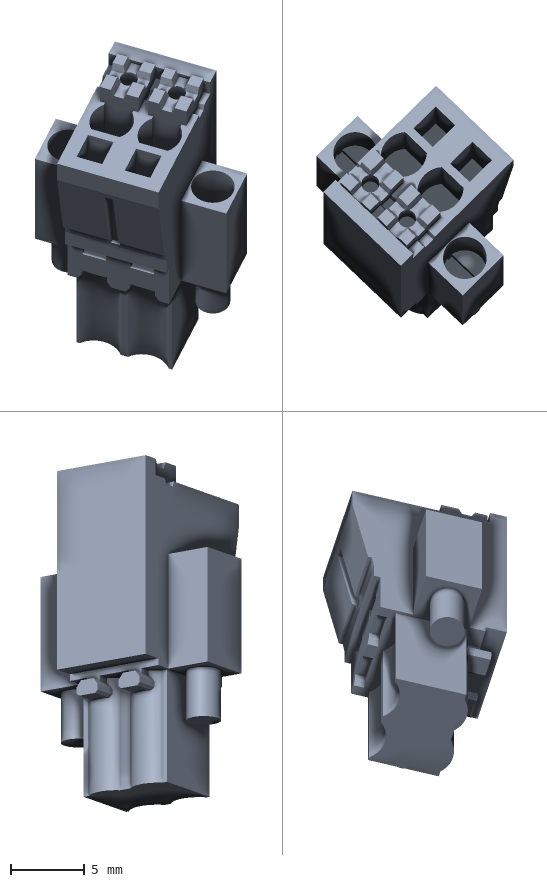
import cadquery as cq


pitch = 3.52
pole_x = [-pitch / 2, pitch / 2]
button_offset_x = 0.11
button_x = [x + button_offset_x for x in pole_x]

total_height = 22.7
housing_width = 7.42
base_z = 7.92
ledge_z = 21.25
wall_top_z = 22.4
wall_front_y = 3.47
back_y = 4.65
back_step_y = 3.15
back_step_z = 8.4
front_y = -6.29
front_edge_z = 19.6
taper_end_y = -5.18
taper_end_z = 13.67
lip_top_y = -4.9
lip_y = -4.77
lip_z = 12.78
lip_bottom_z = 11.53
lower_front_y = -4.31

plug_width = 7.0
plug_front_y = -3.15
plug_back_y = 1.85
scallop_width = 3.0
scallop_depth = 0.7
bulge_width = 2.63
bulge_depth = 0.52

lug_half_width = 0.89
lug_top_half_width = 0.52
lug_bottom_half_width = 0.68
lug_top_z = 7.6
lug_upper_z = 7.15
lug_lower_z = 6.75
lug_bottom_z = 6.54
lug_back_y = 3.85

flange_span = 14.0
flange_depth = 3.97
flange_top_z = 16.0
screw_spacing = 10.5

shank_diameter = 2.38
head_diameter = 2.97
head_height = 2.72
head_recess = 3.63
shank_bottom_z = 4.45
driver_slot_width = 0.45
driver_slot_depth = 0.57
head_top_z = flange_top_z - head_recess
head_bottom_z = head_top_z - head_height

button_width = 2.8
button_front_y = 0.14
button_back_y = 3.4
button_bottom_z = 16.7
button_hole_radius = 0.61
button_hole_depth = 2.27
button_groove_y = 1.95
button_groove_offset_x = -0.05
button_groove_depth = 0.52
button_groove_top = 1.15
button_groove_bottom = 0.68

ledge_groove_y = 1.86
ledge_groove_depth = 0.39
ledge_groove_top = 1.05
ledge_groove_bottom = 0.75

well_front_y = -2.47
well_arc_end_y = -0.1
well_flat_half_width = 1.05
well_half_width = 1.5

entry_width = 1.86
entry_front_y = -5.22
entry_back_y = -3.06
entry_depth = 4.55

slot_width = 0.68
slot_floor_y = -4.55
slot_bottom_z = 13.08
slot_top_z = 19.1
window_width = 1.7
window_bottom_z = 10.49
window_depth = 0.9
notch_half_width = 0.93
notch_mouth_half_width = 1.25
notch_flare_z = 8.38
notch_top_z = 8.83
notch_depth = 0.73


def block(x_range, y_range, z_range):
    """Box between the given limits."""
    size = [high - low for low, high in (x_range, y_range, z_range)]
    return cq.Workplane(cq.Solid.makeBox(*size, cq.Vector(x_range[0], y_range[0], z_range[0])))


def centred(middle, width):
    """Limits of a span of the given width."""
    return middle - width / 2, middle + width / 2


def cylinder(x, radius, bottom_z, top_z, y=0):
    """Upright cylinder."""
    return cq.Workplane("XY", origin=(x, y, bottom_z)).circle(radius).extrude(top_z - bottom_z)


def prism_along_y(points, y_start, y_end):
    """Extrude an (x, z) outline from y_start to y_end."""
    return cq.Workplane("XZ", origin=(0, y_start, 0)).polyline(points).close().extrude(y_start - y_end)


def prism_along_x(points, x_start, x_end):
    """Extrude a (y, z) outline from x_start to x_end."""
    return cq.Workplane("YZ", origin=(x_start, 0, 0)).polyline(points).close().extrude(x_end - x_start)


def groove_outline(middle, top_z, depth, top_width, bottom_width):
    """Trapezoid of a groove that narrows downwards."""
    return [
        (middle - top_width / 2, top_z),
        (middle - bottom_width / 2, top_z - depth),
        (middle + bottom_width / 2, top_z - depth),
        (middle + top_width / 2, top_z),
    ]


def button_envelope(x):
    """Outer block of a button, which is also its pocket in the housing."""
    return block(centred(x, button_width), (button_front_y, button_back_y), (button_bottom_z, total_height))


def make_core():
    """Main block of the housing, extruded from its side profile."""
    profile = [
        (back_y, back_step_z),
        (back_y, wall_top_z),
        (wall_front_y, wall_top_z),
        (wall_front_y, ledge_z),
        (front_y, ledge_z),
        (front_y, front_edge_z),
        (taper_end_y, taper_end_z),
        (lip_top_y, taper_end_z),
        (lip_y, lip_z),
        (lip_y, lip_bottom_z),
        (lower_front_y, lip_bottom_z),
        (lower_front_y, base_z),
        (back_step_y, base_z),
        (back_step_y, back_step_z),
    ]
    return prism_along_x(profile, -housing_width / 2, housing_width / 2)


def make_plug():
    """Plug with a hollow at the front and a bulge at the back of each pole."""
    half_width = plug_width / 2
    half_scallop = scallop_width / 2
    half_bulge = bulge_width / 2
    outline = cq.Workplane("XY").moveTo(-half_width, plug_front_y)
    for x in pole_x:
        outline = outline.lineTo(x - half_scallop, plug_front_y)
        outline = outline.threePointArc((x, plug_front_y + scallop_depth), (x + half_scallop, plug_front_y))
    outline = outline.lineTo(half_width, plug_front_y).lineTo(half_width, plug_back_y)
    for x in reversed(pole_x):
        outline = outline.lineTo(x + half_bulge, plug_back_y)
        outline = outline.threePointArc((x, plug_back_y + bulge_depth), (x - half_bulge, plug_back_y))
    return outline.lineTo(-half_width, plug_back_y).close().extrude(base_z)


def make_lug(x):
    """Latching lug with bevelled sides, and the short web that joins it to the housing."""
    outline = [
        (x - lug_top_half_width, lug_top_z),
        (x + lug_top_half_width, lug_top_z),
        (x + lug_half_width, lug_upper_z),
        (x + lug_half_width, lug_lower_z),
        (x + lug_bottom_half_width, lug_bottom_z),
        (x - lug_bottom_half_width, lug_bottom_z),
        (x - lug_half_width, lug_lower_z),
        (x - lug_half_width, lug_upper_z),
    ]
    lug = prism_along_y(outline, plug_back_y, lug_back_y)
    web = block(centred(x, 2 * lug_top_half_width), (plug_back_y, back_step_y), (lug_top_z, base_z))
    return lug.union(web)


def make_flange(side):
    """Block beside the housing that holds a screw."""
    x_range = sorted((side * housing_width / 2, side * flange_span / 2))
    return block(x_range, centred(0, flange_depth), (base_z, flange_top_z))


def screw_bore(side):
    """Stepped bore of a flange, open above the screw head."""
    x = side * screw_spacing / 2
    shank_bore = cylinder(x, shank_diameter / 2, base_z, head_bottom_z)
    return shank_bore.union(cylinder(x, head_diameter / 2, head_bottom_z, flange_top_z))


def ledge_groove():
    """Groove across the full width of the ledge."""
    outline = groove_outline(
        ledge_groove_y, ledge_z, ledge_groove_depth, ledge_groove_top, ledge_groove_bottom
    )
    return prism_along_x(outline, -housing_width / 2, housing_width / 2)


def well(x):
    """Well with bowed sides that runs into the button pocket."""
    middle_y = (well_front_y + well_arc_end_y) / 2
    left = x - well_flat_half_width
    right = x + well_flat_half_width
    return (
        cq.Workplane("XY", origin=(0, 0, button_bottom_z))
        .moveTo(left, well_front_y)
        .lineTo(right, well_front_y)
        .threePointArc((x + well_half_width, middle_y), (right, well_arc_end_y))
        .lineTo(right, button_front_y)
        .lineTo(left, button_front_y)
        .lineTo(left, well_arc_end_y)
        .threePointArc((x - well_half_width, middle_y), (left, well_front_y))
        .close()
        .extrude(ledge_z - button_bottom_z)
    )


def wire_entry(x):
    """Rectangular hole for the wire."""
    return block(centred(x, entry_width), (entry_front_y, entry_back_y), (ledge_z - entry_depth, ledge_z))


def front_slot():
    """Upright slot in the tapered front."""
    return block(centred(0, slot_width), (front_y, slot_floor_y), (slot_bottom_z, slot_top_z))


def window(x):
    """Recess under the front lip."""
    y_range = (lower_front_y, lower_front_y + window_depth)
    return block(centred(x, window_width), y_range, (window_bottom_z, lip_bottom_z))


def notch(x):
    """Flared notch in the lower front edge."""
    outline = [
        (x - notch_mouth_half_width, base_z),
        (x - notch_half_width, notch_flare_z),
        (x - notch_half_width, notch_top_z),
        (x + notch_half_width, notch_top_z),
        (x + notch_half_width, notch_flare_z),
        (x + notch_mouth_half_width, base_z),
    ]
    return prism_along_y(outline, lower_front_y, lower_front_y + notch_depth)


def make_housing():
    """Housing with its plug, lugs and screw flanges."""
    body = make_core().union(make_plug())
    for x in pole_x:
        body = body.union(make_lug(x))
    for side in (-1, 1):
        body = body.union(make_flange(side)).cut(screw_bore(side))
    body = body.cut(ledge_groove()).cut(front_slot())
    for x in pole_x:
        body = body.cut(wire_entry(x)).cut(window(x)).cut(notch(x))
    for x in button_x:
        body = body.cut(button_envelope(x)).cut(well(x))
    return body


def make_button(x):
    """Release button with crossed grooves and a test hole in its top."""
    groove = (total_height, button_groove_depth, button_groove_top, button_groove_bottom)
    groove_in_x = prism_along_x(
        groove_outline(button_groove_y, *groove), x - button_width / 2, x + button_width / 2
    )
    groove_in_y = prism_along_y(
        groove_outline(x + button_groove_offset_x, *groove), button_front_y, button_back_y
    )
    hole = cylinder(x, button_hole_radius, total_height - button_hole_depth, total_height, button_groove_y)
    return button_envelope(x).cut(groove_in_x).cut(groove_in_y).cut(hole)


def make_screw(side):
    """Slotted screw whose head sits inside the flange."""
    x = side * screw_spacing / 2
    shank = cylinder(x, shank_diameter / 2, shank_bottom_z, head_bottom_z)
    head = cylinder(x, head_diameter / 2, head_bottom_z, head_top_z)
    driver_slot = block(
        centred(x, head_diameter),
        centred(0, driver_slot_width),
        (head_top_z - driver_slot_depth, head_top_z),
    )
    return shank.union(head).cut(driver_slot)


housing = make_housing()
buttons = [make_button(x) for x in button_x]
screws = [make_screw(side) for side in (-1, 1)]

result = cq.Compound.makeCompound(
    [
        housing.val(),
        *[button.val() for button in buttons],
        *[screw.val() for screw in screws],
    ]
)